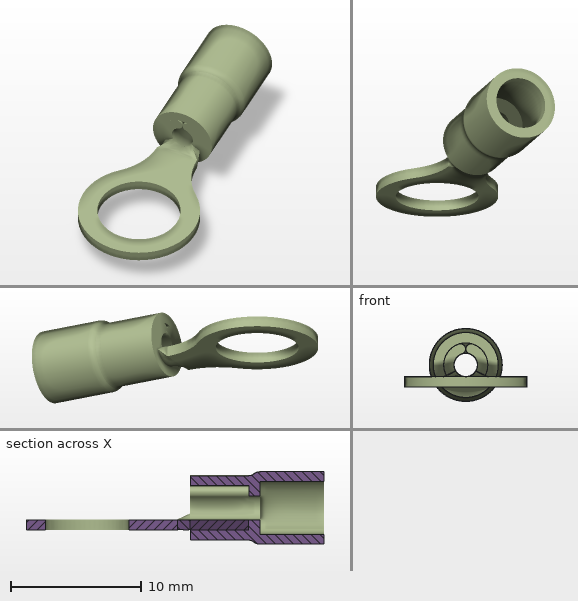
import cadquery as cq
import math


sheet = 0.8
ring_dia = 9.4
ring_hole_dia = 6.4
ring_radius = ring_dia / 2

barrel_dia = 3.4
barrel_radius = barrel_dia / 2
bore_radius = barrel_radius - sheet
seam_gap = 0.02
neck_sector = 120.0

overall_length = 22.9
tongue_end = 6.95
barrel_front = 7.9
shoulder_front = 12.4
shoulder_bend = 12.73
shoulder_rear = 13.28
sleeve_rear = overall_length - ring_radius

sleeve_wall = 0.8
sleeve_front_radius = barrel_radius + sleeve_wall
sleeve_rear_radius = 5.6 / 2
shoulder_bend_radius = 2.59

tongue_bottom = -barrel_radius


def make_tongue():
    """Flat ring whose sides sweep tangentially into a strip as wide as the barrel."""
    half_width = barrel_radius
    side_radius = (half_width**2 + tongue_end**2 - ring_radius**2) / (2 * (ring_radius - half_width))
    centre_x = half_width + side_radius
    centre_distance = ring_radius + side_radius
    touch_x = centre_x * ring_radius / centre_distance
    touch_y = tongue_end * ring_radius / centre_distance
    half_sweep = math.atan2(tongue_end, centre_x) / 2
    mid_x = centre_x - side_radius * math.cos(half_sweep)
    mid_y = tongue_end - side_radius * math.sin(half_sweep)
    return (
        cq.Workplane("XY", origin=(0, 0, tongue_bottom))
        .moveTo(-half_width, tongue_end)
        .lineTo(half_width, tongue_end)
        .threePointArc((mid_x, mid_y), (touch_x, touch_y))
        .threePointArc((0, -ring_radius), (-touch_x, touch_y))
        .threePointArc((-mid_x, mid_y), (-half_width, tongue_end))
        .close()
        .extrude(sheet)
        .cut(cq.Workplane("XY", origin=(0, 0, tongue_bottom)).circle(ring_hole_dia / 2).extrude(sheet))
    )


def make_neck():
    """Ruled transition from the flat strip to the lower sector of the barrel wall."""
    half_angle = math.radians(neck_sector / 2)
    sin_half = math.sin(half_angle)
    cos_half = math.cos(half_angle)
    return (
        cq.Workplane("XZ", origin=(0, tongue_end, 0))
        .moveTo(-barrel_radius, tongue_bottom)
        .lineTo(barrel_radius, tongue_bottom)
        .lineTo(barrel_radius, tongue_bottom + sheet)
        .lineTo(-barrel_radius, tongue_bottom + sheet)
        .close()
        .workplane(offset=tongue_end - barrel_front)
        .moveTo(-barrel_radius * sin_half, -barrel_radius * cos_half)
        .threePointArc((0, -barrel_radius), (barrel_radius * sin_half, -barrel_radius * cos_half))
        .lineTo(bore_radius * sin_half, -bore_radius * cos_half)
        .threePointArc((0, -bore_radius), (-bore_radius * sin_half, -bore_radius * cos_half))
        .close()
        .loft(ruled=True)
    )


def make_barrel():
    """Tube rolled from sheet, whose fully rounded edges meet in a seam along the top."""
    edge_radius = sheet / 2
    middle_radius = bore_radius + edge_radius
    edge_angle = math.asin((edge_radius + seam_gap / 2) / middle_radius)
    sin_edge = math.sin(edge_angle)
    cos_edge = math.cos(edge_angle)
    edge_tip = (seam_gap / 2, middle_radius * cos_edge)
    outer_end = (barrel_radius * sin_edge, barrel_radius * cos_edge)
    inner_end = (bore_radius * sin_edge, bore_radius * cos_edge)
    return (
        cq.Workplane("XZ", origin=(0, barrel_front, 0))
        .moveTo(*outer_end)
        .threePointArc((0, -barrel_radius), (-outer_end[0], outer_end[1]))
        .threePointArc((-edge_tip[0], edge_tip[1]), (-inner_end[0], inner_end[1]))
        .threePointArc((0, -bore_radius), inner_end)
        .threePointArc(edge_tip, outer_end)
        .close()
        .extrude(barrel_front - shoulder_front)
    )


def shoulder_midpoint(radius, start, bend):
    """Midpoint of the arc that leaves a cylinder tangentially and ends at the shoulder bend."""
    rise = bend - radius
    run = shoulder_bend - start
    arc_radius = (rise**2 + run**2) / (2 * abs(rise))
    half_sweep = math.atan2(abs(rise), abs(run))
    return (
        radius + math.copysign(arc_radius * (1 - math.cos(half_sweep)), rise),
        start + math.copysign(arc_radius * math.sin(half_sweep), run),
    )


def bore_tool(radius, start, end):
    """Cylinder along the barrel axis between two Y positions."""
    return cq.Workplane("XZ", origin=(0, start, 0)).circle(radius).extrude(start - end)


def make_sleeve():
    """Insulating sleeve with a rounded shoulder and an inner collar behind the barrel."""
    front = sleeve_front_radius
    rear = sleeve_rear_radius
    bend = shoulder_bend_radius
    body = (
        cq.Workplane("XY")
        .moveTo(0, barrel_front)
        .lineTo(front, barrel_front)
        .lineTo(front, shoulder_front)
        .threePointArc(shoulder_midpoint(front, shoulder_front, bend), (bend, shoulder_bend))
        .threePointArc(shoulder_midpoint(rear, shoulder_rear, bend), (rear, shoulder_rear))
        .lineTo(rear, sleeve_rear)
        .lineTo(0, sleeve_rear)
        .close()
        .revolve(360, (0, 0, 0), (0, 1, 0))
    )
    barrel_seat = bore_tool(barrel_radius, barrel_front, shoulder_front)
    collar_bore = bore_tool(bore_radius, shoulder_front, shoulder_rear)
    wire_entry = bore_tool(rear - sleeve_wall, shoulder_rear, sleeve_rear)
    return body.cut(barrel_seat).cut(collar_bore).cut(wire_entry)


tongue = make_tongue()
neck = make_neck()
barrel = make_barrel()
sleeve = make_sleeve()

result = cq.Compound.makeCompound([tongue.val(), neck.val(), barrel.val(), sleeve.val()])